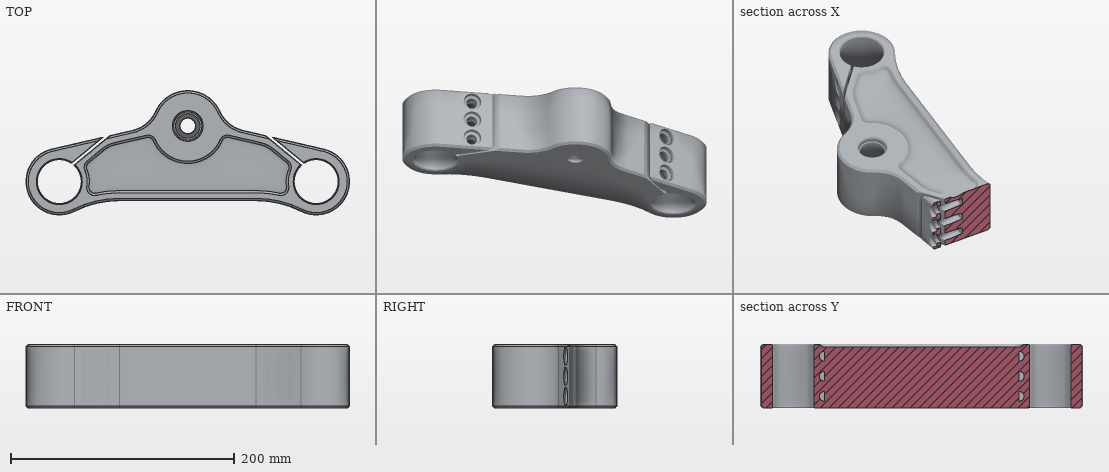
import cadquery as cq
import math

overall_length = 290.0
thickness = 57.0
edge_chamfer = 2.0

clamp_radius = 30.0
clamp_x = overall_length / 2 - clamp_radius
clamp_bore_diameter = 39.5
bore_chamfer = 1.0

boss_y = 50.0
boss_radius = 31.5
stem_bore_diameter = 22.0
stem_bore_floor = 11.5
stem_through_diameter = 14.0
stem_seat_diameter = 25.2
stem_seat_depth = 5.0
stem_chamfer = 1.2

shoulder_angle = 13.0
shoulder_blend_radius = 30.0
front_edge_y = -17.0
front_blend_radius = 90.0

slit_angle = 39.5
slit_width = 3.0
slit_offset = 4.4
slit_length = 72.5

bolt_spacing = 18.0
bolt_distance = 28.7
bolt_head_diameter = 16.0
bolt_clearance_diameter = 10.0
bolt_tap_diameter = 8.5
bolt_seat_depth = 4.0
bolt_clearance_depth = 11.0
bolt_thread_depth = 29.0

recess_depth = 2.0
rim_width = 7.0
clamp_rim_radius = 25.0
slit_rim_width = 4.5
recess_bend_radius = 29.0
recess_corner_radius = 7.2

recess_bend = (-72.2, 33.5)
recess_corners = ((-97.5, -17.5), (-94.8, 14.5), (-33.4, 42.3))


def polar(center, radius, degrees):
    angle = math.radians(degrees)
    return (center[0] + radius * math.cos(angle), center[1] + radius * math.sin(angle))


def mirrored(point):
    return (-point[0], point[1])


def both_sides(shape):
    return shape.union(shape.mirror("YZ"))


clamp_center = (-clamp_x, 0.0)
boss_center = (0.0, boss_y)


def outline():
    """Closed outer contour of the plate, mirror-symmetric about X = 0."""
    blend_sum = front_blend_radius + clamp_radius
    front_drop = front_blend_radius - front_edge_y
    front_x = -clamp_x + math.sqrt(blend_sum**2 - front_drop**2)
    front_center = (front_x, -front_drop)
    front_angle = math.degrees(math.atan2(front_drop, clamp_center[0] - front_x))
    front_start = (front_x, front_edge_y)
    front_middle = polar(front_center, front_blend_radius, (90 + front_angle) / 2)
    eye_start = polar(front_center, front_blend_radius, front_angle)

    normal_angle = 90 + shoulder_angle
    eye_middle = polar(clamp_center, clamp_radius, 180)
    eye_end = polar(clamp_center, clamp_radius, normal_angle)

    normal = polar((0, 0), 1, normal_angle)
    boss_to_line = clamp_radius + clamp_x * -normal[0] - boss_y * normal[1]
    reach = boss_radius + shoulder_blend_radius
    swing = math.degrees(math.acos((boss_to_line + shoulder_blend_radius) / reach))
    contact_angle = normal_angle + swing
    shoulder_center = polar(boss_center, reach, contact_angle)
    shoulder_end = polar(shoulder_center, shoulder_blend_radius, normal_angle + 180)
    shoulder_middle = polar(
        shoulder_center, shoulder_blend_radius, normal_angle + 180 + swing / 2
    )
    boss_start = polar(boss_center, boss_radius, contact_angle)
    boss_top = polar(boss_center, boss_radius, 90)

    return (
        cq.Workplane("XY")
        .moveTo(*front_start)
        .threePointArc(front_middle, eye_start)
        .threePointArc(eye_middle, eye_end)
        .lineTo(*shoulder_end)
        .threePointArc(shoulder_middle, boss_start)
        .threePointArc(boss_top, mirrored(boss_start))
        .threePointArc(mirrored(shoulder_middle), mirrored(shoulder_end))
        .lineTo(*mirrored(eye_end))
        .threePointArc(mirrored(eye_middle), mirrored(eye_start))
        .threePointArc(mirrored(front_middle), mirrored(front_start))
        .close()
    )


def cylinder(center, diameter, bottom, top):
    base = cq.Workplane("XY", origin=(center[0], center[1], bottom))
    return base.circle(diameter / 2).extrude(top - bottom)


def mouth_chamfer(center, diameter, size):
    """Cone that breaks the top edge of a hole."""
    top = cq.Workplane("XY", origin=(center[0], center[1], thickness))
    return top.circle(diameter / 2 + size).extrude(-size, taper=45)


def clamp_bores():
    bore = cylinder(clamp_center, clamp_bore_diameter, 0, thickness)
    top_chamfer = mouth_chamfer(clamp_center, clamp_bore_diameter, bore_chamfer)
    bottom_chamfer = top_chamfer.mirror("XY", (0, 0, thickness / 2))
    return both_sides(bore.union(top_chamfer).union(bottom_chamfer))


def stem_bore():
    through = cylinder(boss_center, stem_through_diameter, 0, thickness)
    bore = cylinder(boss_center, stem_bore_diameter, stem_bore_floor, thickness)
    seat = cylinder(boss_center, stem_seat_diameter, thickness - stem_seat_depth, thickness)
    chamfer = mouth_chamfer(boss_center, stem_seat_diameter, stem_chamfer)
    return through.union(bore).union(seat).union(chamfer)


shoulder_plane = cq.Plane(origin=(-clamp_x, 0, 0)).rotated((0, 0, shoulder_angle))
slit_plane = cq.Plane(origin=(-clamp_x, 0, 0)).rotated((0, 0, slit_angle))


def slits():
    cut = (
        cq.Workplane(slit_plane)
        .center(slit_length / 2, slit_offset)
        .rect(slit_length, slit_width)
        .extrude(thickness)
    )
    return both_sides(cut)


def bolt_hole(height):
    """Stepped hole from the left shoulder face, across the slit and into the body."""
    entry = shoulder_plane.toWorldCoords((bolt_distance, clamp_radius, height))
    face = cq.Plane(origin=entry, xDir=shoulder_plane.xDir, normal=shoulder_plane.yDir)
    steps = (
        (bolt_head_diameter, bolt_seat_depth),
        (bolt_clearance_diameter, bolt_clearance_depth),
        (bolt_tap_diameter, bolt_thread_depth),
    )
    hole = cq.Workplane(face)
    for diameter, depth in steps:
        hole = hole.union(cq.Workplane(face).circle(diameter / 2).extrude(-depth))
    return hole


def bolt_holes():
    """Row of three bolt holes through each lug."""
    row = cq.Workplane("XY")
    for step in (-1, 0, 1):
        row = row.union(bolt_hole(thickness / 2 + step * bolt_spacing))
    return both_sides(row)


def recess_rim():
    """Full-height material around the recess, beyond the offset of the outline."""
    eye = cylinder(clamp_center, 2 * clamp_rim_radius, 0, thickness)
    beyond_eye = (
        cq.Workplane("XY", origin=(-clamp_x - clamp_radius, 0, 0))
        .rect(2 * clamp_radius, 4 * clamp_radius)
        .extrude(thickness)
    )
    beyond_slit = (
        cq.Workplane(slit_plane)
        .moveTo(-slit_length, slit_offset - slit_width / 2 - slit_rim_width)
        .rect(3 * slit_length, slit_length, centered=(False, False))
        .extrude(thickness)
    )
    beyond_shoulder = (
        cq.Workplane(shoulder_plane)
        .moveTo(0, clamp_radius - rim_width)
        .rect(clamp_x, slit_length, centered=(False, False))
        .extrude(thickness)
    )
    boss = cylinder(boss_center, 2 * boss_radius, 0, thickness)
    side = eye.union(beyond_eye).union(beyond_slit).union(beyond_shoulder)
    return both_sides(side).union(boss)


def round_pair(block, point, radius):
    """Round the upright edge nearest to a point, and its mirror image."""
    for x, y in (point, mirrored(point)):
        upright = cq.NearestToPointSelector((x, y, thickness / 2))
        block = block.edges(upright).fillet(radius)
    return block


def recess():
    """Cutter for the recess; its bottom edge is bevelled to give the sloping walls."""
    block = outline().offset2D(-rim_width).extrude(thickness).cut(recess_rim())
    block = round_pair(block, recess_bend, recess_bend_radius)
    for corner in recess_corners:
        block = round_pair(block, corner, recess_corner_radius)
    block = block.faces("<Z").chamfer(recess_depth)
    return block.translate((0, 0, thickness - recess_depth))


plate = outline().extrude(thickness).faces("<Z or >Z").chamfer(edge_chamfer)
result = (
    plate.cut(recess())
    .cut(clamp_bores())
    .cut(stem_bore())
    .cut(slits())
    .cut(bolt_holes())
)